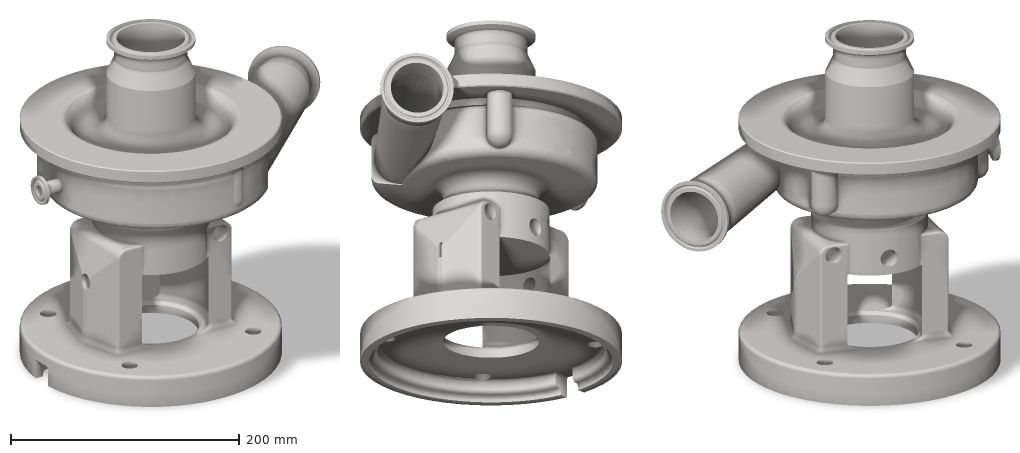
import cadquery as cq
import math

BASE_RADIUS = 115.0
BASE_HEIGHT = 28.8
BASE_EDGE_FILLET = 3.3
BASE_BORE_RADIUS = 42.0
BASE_BORE_CHAMFER = 2.5
RECESS_RADIUS = 99.7
RECESS_HEIGHT = 18.5
RECESS_FILLET = 2.0
RECESS_STEP_BOTTOM = 2.3
RECESS_STEP_ARC = 3.5
NOTCH_WIDTH = 19.5
NOTCH_FILLET = 2.0
BOLT_HOLE_RADIUS = 7.3
BOLT_CIRCLE_RADIUS = 91.8

LEG_HALF_WIDTH = 39.0
LEG_TOP = 127.0
LEG_SIDE_DEPTH = 59.5
LEG_RIDGE_DEPTH = 69.2
LEG_RIDGE_WIDTH = 5.3
LEG_APEX_Z = 87.8
LEG_SLOPE_TOP_DEPTH = 58.0
LEG_TOP_FILLET = 10.0
LEG_EDGE_FILLET = 2.3
LEG_SHOULDER_FILLET = 2.0
LEG_FOOT_FILLET = 4.5
LEG_BORE_RADIUS = 52.5
LEG_HOLE_RADIUS = 7.0
LEG_HOLE_Z = 85.5
LEG_SLIT_WIDTH = 3.5
CROSS_HOLE_RADIUS = 7.5
CROSS_HOLE_Y = 47.5
CROSS_HOLE_Z = 117.5

RING_RADIUS = 51.5
RING_BOTTOM = 98.0
RING_TOP = 140.0
RING_HOLE_RADIUS = 8.0
RING_HOLE_Z = 113.3
RING_HOLE_DEPTH = 16.5
NECK_RADIUS = 42.5
FLARE_RADIUS = 10.0

VOLUTE_TOP = 209.5
VOLUTE_CENTRE_BOTTOM = 158.0
VOLUTE_BOTTOM_SLOPE = 0.05
VOLUTE_FILLET = 7.0
SPIRAL_START_ANGLE = 45.0
SPIRAL_START_RADIUS = 82.0
SPIRAL_GROWTH = 23.0
SPIRAL_STEPS = 16
COLLAR_RADIUS = 83.8

COVER_RADIUS = 115.0
COVER_BOTTOM = 215.5
COVER_TOP = 227.5
COVER_CHAMFER = 1.0
DISH_RIM_RADIUS = 79.0
DISH_LIP_RADIUS = 76.0
DISH_LIP_DROP = 1.0
DISH_WALL_FOOT_RADIUS = 69.5
DISH_FLOOR_RADIUS = 62.5
DISH_DEPTH = 10.3
DISH_BEND_DROP = 7.5

BOSS_ANGLES = (15, 135, 255)
BOSS_CIRCLE_RADIUS = 93.7
BOSS_RADIUS = 11.0
BOSS_BOTTOM = 167.3
BOSS_ROOT_RADIUS = 73.0

TOTAL_HEIGHT = 303.5
INLET_RADIUS = 39.0
INLET_ROOT_FILLET = 10.3
INLET_TAPER_START = 270.0
INLET_TAPER_END = 285.0
INLET_NECK_RADIUS = 32.0
INLET_BORE_RADIUS = 30.0
INLET_FLANGE_RADIUS = 39.0
INLET_BORE_FLOOR = 169.0
INLET_GROOVE_RADIUS = 34.8

PORT_Z = 185.5
OUTLET_OFFSET = 80.5
OUTLET_LENGTH = 189.5
OUTLET_ROOT_RADIUS = 22.5
OUTLET_MAX_RADIUS = 27.8
OUTLET_MAX_START = 155.7
OUTLET_MAX_END = 163.5
OUTLET_STEP_RADIUS = 26.8
OUTLET_STEP_END = 171.0
OUTLET_RING_RADIUS = 26.2
OUTLET_RING_END = 177.5
OUTLET_NECK_RADIUS = 25.5
OUTLET_BORE_RADIUS = 23.2
OUTLET_BORE_ROOT_RADIUS = 19.2
OUTLET_FLANGE_RADIUS = 32.0
OUTLET_GROOVE_RADIUS = 28.0

DRAIN_LENGTH = 117.5
DRAIN_RADIUS = 6.3
DRAIN_ROOT = 82.8
DRAIN_FLANGE_RADIUS = 13.0
DRAIN_BORE_RADIUS = 5.0
DRAIN_BORE_DEPTH = 26.5
DRAIN_GROOVE_RADIUS = 9.5

CLAMP_RIM = 3.3
CLAMP_TAPER = 3.0
GROOVE_WIDTH = 3.0
GROOVE_DEPTH = 1.3


def cylinder(radius, bottom, top):
    return cq.Workplane("XY").workplane(offset=bottom).circle(radius).extrude(top - bottom)


def revolved(profile):
    """Revolve a closed list of (radius, height) points about Z."""
    return cq.Workplane("XZ").polyline(profile).close().revolve(360, (0, 0), (0, 1))


def clamp_flange(face, radius, neck_radius, groove_radius):
    """Clamp flange on the Z axis, its face at height `face`, with a gasket groove."""
    back = face - CLAMP_RIM
    flange = revolved([
        (0, face),
        (radius, face),
        (radius, back),
        (neck_radius, back - CLAMP_TAPER),
        (0, back - CLAMP_TAPER),
    ])
    half_top = GROOVE_WIDTH / 2
    half_floor = half_top / 3
    groove = revolved([
        (groove_radius - half_top, face),
        (groove_radius + half_top, face),
        (groove_radius + half_floor, face - GROOVE_DEPTH),
        (groove_radius - half_floor, face - GROOVE_DEPTH),
    ])
    return flange.cut(groove)


def make_leg():
    """Leg on the -Y side, before its inner face is bored."""
    half_ridge = LEG_RIDGE_WIDTH / 2
    leg = (
        cq.Workplane("XY")
        .polyline([
            (-LEG_HALF_WIDTH, 0),
            (-LEG_HALF_WIDTH, -LEG_SIDE_DEPTH),
            (-half_ridge, -LEG_RIDGE_DEPTH),
            (half_ridge, -LEG_RIDGE_DEPTH),
            (LEG_HALF_WIDTH, -LEG_SIDE_DEPTH),
            (LEG_HALF_WIDTH, 0),
        ])
        .close()
        .extrude(LEG_TOP)
    )
    slope_side = (
        cq.Workplane("YZ")
        .polyline([
            (0, 0),
            (-LEG_RIDGE_DEPTH, 0),
            (-LEG_RIDGE_DEPTH, LEG_APEX_Z),
            (-LEG_SLOPE_TOP_DEPTH, LEG_TOP),
            (0, LEG_TOP),
        ])
        .close()
        .extrude(LEG_HALF_WIDTH, both=True)
    )
    outer_corners = "|Z and (<X or >X) and (not >Y)"
    leg = leg.edges(outer_corners).fillet(LEG_EDGE_FILLET)
    slope_side = slope_side.faces(">Z").edges("<Y").fillet(LEG_TOP_FILLET)
    leg = leg.intersect(slope_side)
    return leg.faces(">Z").edges("|Y").fillet(LEG_SHOULDER_FILLET)


def make_base_opening():
    """Chamfered central bore together with the stepped recess under the base."""
    arc = RECESS_STEP_ARC
    rim_wall_radius = RECESS_RADIUS + 2 * arc
    step_middle = RECESS_STEP_BOTTOM + arc
    return (
        cq.Workplane("XZ")
        .lineTo(rim_wall_radius, 0)
        .lineTo(rim_wall_radius, RECESS_STEP_BOTTOM)
        .tangentArcPoint((rim_wall_radius - arc, step_middle), relative=False)
        .tangentArcPoint((RECESS_RADIUS, step_middle + arc), relative=False)
        .lineTo(RECESS_RADIUS, RECESS_HEIGHT - RECESS_FILLET)
        .tangentArcPoint((RECESS_RADIUS - RECESS_FILLET, RECESS_HEIGHT), relative=False)
        .lineTo(BASE_BORE_RADIUS, RECESS_HEIGHT)
        .lineTo(BASE_BORE_RADIUS, BASE_HEIGHT - BASE_BORE_CHAMFER)
        .lineTo(BASE_BORE_RADIUS + BASE_BORE_CHAMFER, BASE_HEIGHT)
        .lineTo(0, BASE_HEIGHT)
        .close()
        .revolve(360, (0, 0), (0, 1))
    )


def make_pedestal():
    base = cylinder(BASE_RADIUS, 0, BASE_HEIGHT).faces(">Z").edges().fillet(BASE_EDGE_FILLET)
    leg = make_leg()
    leg = leg.cut(cylinder(LEG_BORE_RADIUS, 0, RING_BOTTOM))
    leg = leg.cut(cylinder(RING_RADIUS, RING_BOTTOM, LEG_TOP))
    foot = cq.selectors.BoxSelector(
        (-BASE_RADIUS, -BASE_RADIUS, BASE_HEIGHT - 0.3),
        (BASE_RADIUS, -LEG_HALF_WIDTH / 2, BASE_HEIGHT + 0.3),
    )
    front = base.union(leg).edges(foot).fillet(LEG_FOOT_FILLET)
    front_space = cq.Workplane("XY").box(
        2 * BASE_RADIUS, BASE_RADIUS, LEG_TOP, centered=(True, False, False)
    ).translate((0, -BASE_RADIUS, 0))
    front = front.intersect(front_space)
    pedestal = front.union(front.rotate((0, 0, 0), (0, 0, 1), 180))

    pedestal = pedestal.cut(make_base_opening())

    notch = (
        cq.Workplane("XY")
        .box(NOTCH_WIDTH, BASE_RADIUS, RECESS_HEIGHT, centered=(True, False, False))
        .faces(">Z").edges("|Y").fillet(NOTCH_FILLET)
        .translate((0, -BASE_RADIUS, 0))
    )
    bolt_holes = (
        cq.Workplane("XY")
        .polarArray(BOLT_CIRCLE_RADIUS, 45, 360, 4)
        .circle(BOLT_HOLE_RADIUS)
        .extrude(BASE_HEIGHT)
    )
    leg_hole = (
        cq.Workplane("XZ", origin=(0, 0, LEG_HOLE_Z))
        .circle(LEG_HOLE_RADIUS)
        .extrude(LEG_RIDGE_DEPTH)
    )
    rear_slit = cq.Workplane("XY", origin=(0, 0, LEG_HOLE_Z)).box(
        LEG_SLIT_WIDTH, LEG_RIDGE_DEPTH, 2 * LEG_HOLE_RADIUS, centered=(True, False, True)
    )
    return pedestal.cut(notch).cut(bolt_holes).cut(leg_hole).cut(rear_slit)


def make_cross_hole():
    return (
        cq.Workplane("YZ", origin=(0, CROSS_HOLE_Y, CROSS_HOLE_Z))
        .circle(CROSS_HOLE_RADIUS)
        .extrude(LEG_HALF_WIDTH, both=True)
    )


def make_adapter():
    flare_bottom_radius = NECK_RADIUS + FLARE_RADIUS
    flare_top = VOLUTE_CENTRE_BOTTOM + VOLUTE_BOTTOM_SLOPE * flare_bottom_radius
    flare_start = flare_top - FLARE_RADIUS
    diagonal = FLARE_RADIUS * math.sqrt(0.5)
    neck = (
        cq.Workplane("XZ")
        .moveTo(0, RING_TOP)
        .lineTo(NECK_RADIUS, RING_TOP)
        .lineTo(NECK_RADIUS, flare_start)
        .threePointArc(
            (flare_bottom_radius - diagonal, flare_start + diagonal),
            (flare_bottom_radius, flare_top),
        )
        .lineTo(flare_bottom_radius, flare_top + 3.3)
        .lineTo(0, flare_top + 3.3)
        .close()
        .revolve(360, (0, 0), (0, 1))
    )
    ring = cylinder(RING_RADIUS, RING_BOTTOM, RING_TOP)
    radial_hole = (
        cq.Workplane("YZ", origin=(-RING_RADIUS, 0, RING_HOLE_Z))
        .circle(RING_HOLE_RADIUS)
        .extrude(RING_HOLE_DEPTH)
    )
    return ring.cut(radial_hole).union(neck)


def spiral_point(turn):
    """Point on the volute outline after `turn` turns (0 to 1) counterclockwise."""
    angle = math.radians(SPIRAL_START_ANGLE) + 2 * math.pi * turn
    radius = SPIRAL_START_RADIUS + SPIRAL_GROWTH * turn
    return radius * math.cos(angle), radius * math.sin(angle)


def make_volute():
    outer = BASE_RADIUS
    scroll = (
        cq.Workplane("XY")
        .workplane(offset=VOLUTE_CENTRE_BOTTOM)
        .spline([spiral_point(step / SPIRAL_STEPS) for step in range(SPIRAL_STEPS + 1)])
        .close()
        .extrude(VOLUTE_TOP - VOLUTE_CENTRE_BOTTOM)
    )
    envelope = revolved([
        (0, VOLUTE_CENTRE_BOTTOM),
        (outer, VOLUTE_CENTRE_BOTTOM + VOLUTE_BOTTOM_SLOPE * outer),
        (outer, VOLUTE_TOP),
        (0, VOLUTE_TOP),
    ])
    scroll = scroll.intersect(envelope).edges("%BSPLINE").fillet(VOLUTE_FILLET)
    return scroll.union(cylinder(COLLAR_RADIUS, VOLUTE_TOP, COVER_BOTTOM))


def make_boss(angle):
    """Round-ended web that hangs from the cover plate beside the volute."""
    shaft_bottom = BOSS_BOTTOM + BOSS_RADIUS
    web_length = BOSS_CIRCLE_RADIUS - BOSS_ROOT_RADIUS
    boss = cylinder(BOSS_RADIUS, shaft_bottom, COVER_BOTTOM)
    boss = boss.union(cq.Workplane("XY").sphere(BOSS_RADIUS).translate((0, 0, shaft_bottom)))
    web = (
        cq.Workplane("XY", origin=(0, 0, shaft_bottom))
        .box(web_length, 2 * BOSS_RADIUS, COVER_BOTTOM - shaft_bottom, centered=(False, True, False))
    )
    web_foot = cq.Workplane("YZ", origin=(0, 0, shaft_bottom)).circle(BOSS_RADIUS).extrude(web_length)
    boss = boss.union(web.union(web_foot).translate((-web_length, 0, 0)))
    return boss.translate((BOSS_CIRCLE_RADIUS, 0, 0)).rotate((0, 0, 0), (0, 0, 1), angle)


def make_cover():
    cover = cylinder(COVER_RADIUS, COVER_BOTTOM, COVER_TOP).edges().chamfer(COVER_CHAMFER)
    floor = COVER_TOP - DISH_DEPTH
    root_radius = INLET_RADIUS + INLET_ROOT_FILLET
    bend_foot = COVER_TOP - DISH_BEND_DROP
    diagonal = INLET_ROOT_FILLET * math.sqrt(0.5)
    dish = (
        cq.Workplane("XZ")
        .moveTo(INLET_RADIUS, COVER_TOP)
        .lineTo(DISH_RIM_RADIUS, COVER_TOP)
        .lineTo(DISH_LIP_RADIUS, COVER_TOP - DISH_LIP_DROP)
        .lineTo(DISH_WALL_FOOT_RADIUS, bend_foot)
        .tangentArcPoint((DISH_FLOOR_RADIUS, floor), relative=False)
        .lineTo(root_radius, floor)
        .threePointArc(
            (root_radius - diagonal, floor + INLET_ROOT_FILLET - diagonal),
            (INLET_RADIUS, floor + INLET_ROOT_FILLET),
        )
        .close()
        .revolve(360, (0, 0), (0, 1))
    )
    return cover.cut(dish)


def make_inlet():
    pipe = revolved([
        (0, COVER_BOTTOM),
        (INLET_RADIUS, COVER_BOTTOM),
        (INLET_RADIUS, INLET_TAPER_START),
        (INLET_NECK_RADIUS, INLET_TAPER_END),
        (INLET_NECK_RADIUS, TOTAL_HEIGHT - CLAMP_RIM),
        (0, TOTAL_HEIGHT - CLAMP_RIM),
    ])
    flange = clamp_flange(TOTAL_HEIGHT, INLET_FLANGE_RADIUS, INLET_NECK_RADIUS, INLET_GROOVE_RADIUS)
    return pipe.union(flange)


def place_outlet(shape):
    """Lay a shape built along Z onto the outlet axis, which runs towards (-X, +Y)."""
    offset = OUTLET_OFFSET * math.sqrt(0.5)
    lying = shape.rotate((0, 0, 0), (1, 0, 0), -90).rotate((0, 0, 0), (0, 0, 1), 45)
    return lying.translate((offset, offset, PORT_Z))


def make_outlet():
    pipe = revolved([
        (0, 0),
        (OUTLET_ROOT_RADIUS, 0),
        (OUTLET_MAX_RADIUS, OUTLET_MAX_START),
        (OUTLET_MAX_RADIUS, OUTLET_MAX_END),
        (OUTLET_STEP_RADIUS, OUTLET_STEP_END),
        (OUTLET_RING_RADIUS, OUTLET_RING_END),
        (OUTLET_NECK_RADIUS, OUTLET_LENGTH - CLAMP_RIM - CLAMP_TAPER),
        (OUTLET_NECK_RADIUS, OUTLET_LENGTH - CLAMP_RIM),
        (0, OUTLET_LENGTH - CLAMP_RIM),
    ])
    flange = clamp_flange(OUTLET_LENGTH, OUTLET_FLANGE_RADIUS, OUTLET_NECK_RADIUS, OUTLET_GROOVE_RADIUS)
    return place_outlet(pipe.union(flange))


def make_outlet_bore():
    return place_outlet(revolved([
        (0, 0),
        (OUTLET_BORE_ROOT_RADIUS, 0),
        (OUTLET_BORE_RADIUS, OUTLET_MAX_START),
        (OUTLET_BORE_RADIUS, OUTLET_LENGTH),
        (0, OUTLET_LENGTH),
    ]))


def make_drain():
    tube = cylinder(DRAIN_RADIUS, DRAIN_ROOT, DRAIN_LENGTH - CLAMP_RIM)
    flange = clamp_flange(DRAIN_LENGTH, DRAIN_FLANGE_RADIUS, DRAIN_RADIUS, DRAIN_GROOVE_RADIUS)
    bore = cylinder(DRAIN_BORE_RADIUS, DRAIN_LENGTH - DRAIN_BORE_DEPTH, DRAIN_LENGTH)
    drain = tube.union(flange).cut(bore)
    return drain.rotate((0, 0, 0), (1, 0, 0), 90).translate((0, 0, PORT_Z))


result = make_pedestal().union(make_adapter()).union(make_volute())
for boss_angle in BOSS_ANGLES:
    result = result.union(make_boss(boss_angle))
result = result.union(make_cover()).union(make_inlet()).union(make_outlet()).union(make_drain())
result = result.cut(make_outlet_bore())
result = result.cut(cylinder(INLET_BORE_RADIUS, INLET_BORE_FLOOR, TOTAL_HEIGHT))
result = result.cut(make_cross_hole())